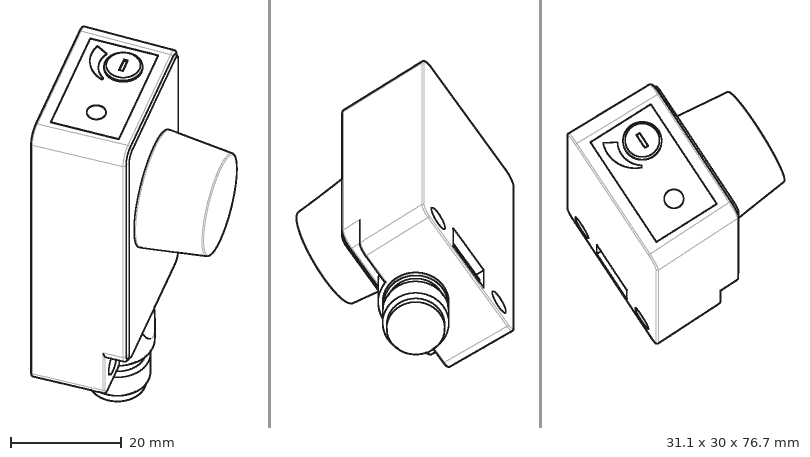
import cadquery as cq
import math


HOUSING_HEIGHT = 65.0
FRONT_X = 18.4
HEAD_DEPTH = 17.95
BACK_WIDTH = 30.03
SIDE_DRAFT_DEGREES = 1.0
HEAD_CORNER_RADIUS = 2.8
FOOT_CORNER_RADIUS = 2.0
HEAD_FRONT_RADIUS = 0.45
SMALL_EDGE_RADIUS = 0.3

PANEL_INSET = 0.6
PANEL_TAPER_DEGREES = 38.0

FOOT_DEPTH = 14.0
HEAD_BOTTOM_Z = 9.1
FOOT_OVERLAP = 6.0

BARREL_BASE_DIAMETER = 22.0
BARREL_END_DIAMETER = 19.2
BARREL_BASE_X = 18.65
BARREL_END_X = 31.1
BARREL_END_RADIUS = 0.25
BARREL_DROP = 23.05

MOUNT_HOLE_DIAMETER = 4.5
MOUNT_HOLE_SPACING = 20.0
MOUNT_HOLE_Z = 4.5
POCKET_WIDTH = 10.0
POCKET_HEIGHT = 7.4
POCKET_DEPTH = 5.0
POCKET_CENTER_Z = 5.45
POCKET_BAR_HEIGHT = 1.4
POCKET_BAR_RECESS = 0.9

PLUG_X = 11.47
PLUG_LENGTH = 11.05
PLUG_DIAMETER = 12.0
PLUG_NECK_DIAMETER = 10.5
PLUG_FLANGE_HEIGHT = 1.0
PLUG_FLANGE_RIM = 0.45
PLUG_FLANGE_BEVEL = 0.15
PLUG_COLLAR_TOP = 3.1
PLUG_COLLAR_BOTTOM = 9.5
PLUG_EMBED = 1.0

COVER_RADIUS = 6.8
COVER_SLOPE_START_Z = 3.0
COVER_TOP_FRONT_X = 16.8

LABEL_X = 9.0
LABEL_LENGTH = 13.0
LABEL_WIDTH = 22.0
MARK_DEPTH = 0.1
KNOB_X = 10.5
KNOB_Y = 6.1
KNOB_BASE_DIAMETER = 7.0
KNOB_TOP_DIAMETER = 6.2
KNOB_HEIGHT = 0.6
KNOB_RIM_HEIGHT = 0.25
KNOB_SLOT_LENGTH = 2.8
KNOB_SLOT_WIDTH = 0.7
KNOB_SLOT_DEPTH = 0.4
LAMP_X = 9.5
LAMP_Y = -6.0
LAMP_DIAMETER = 3.5

CRESCENT_INNER_RADIUS = 4.5
CRESCENT_WIDE_RADIUS = 7.1
CRESCENT_TIP_RADIUS = 4.9
CRESCENT_START_DEGREES = 150.0
CRESCENT_END_DEGREES = 236.0


def half_width_at(x):
    """Half of the housing's drafted width at the distance `x` from the mounting face."""
    return BACK_WIDTH / 2 - x * math.tan(math.radians(SIDE_DRAFT_DEGREES))


def drafted_block(depth, bottom_z, top_z):
    """Block from the mounting face to `depth`, its sides narrowing towards the front."""
    back_half = BACK_WIDTH / 2
    front_half = half_width_at(depth)
    plan = [(0, -back_half), (depth, -front_half), (depth, front_half), (0, back_half)]
    return (
        cq.Workplane("XY", origin=(0, 0, bottom_z))
        .polyline(plan)
        .close()
        .extrude(top_z - bottom_z)
    )


def fillet_long_corners(block, side, radius):
    """Round the two front-to-back edges of the block on its top (">Z") or bottom ("<Z")."""
    return block.faces(side).edges("not #X").fillet(radius)


def make_head():
    head = drafted_block(HEAD_DEPTH, HEAD_BOTTOM_Z, HOUSING_HEIGHT)
    head = fillet_long_corners(head, ">Z", HEAD_CORNER_RADIUS)
    head = fillet_long_corners(head, "<Z", HEAD_CORNER_RADIUS)
    head = head.faces(">X").edges().fillet(HEAD_FRONT_RADIUS)
    return head.faces("<X").edges().fillet(SMALL_EDGE_RADIUS)


def make_front_panel():
    width = 2 * (half_width_at(HEAD_DEPTH) - PANEL_INSET)
    height = HOUSING_HEIGHT - HEAD_BOTTOM_Z - 2 * PANEL_INSET
    center_z = (HOUSING_HEIGHT + HEAD_BOTTOM_Z) / 2
    outline = cq.Sketch().rect(width, height).vertices().fillet(HEAD_CORNER_RADIUS - PANEL_INSET)
    return (
        cq.Workplane("YZ", origin=(HEAD_DEPTH, 0, center_z))
        .placeSketch(outline)
        .extrude(FRONT_X - HEAD_DEPTH, taper=PANEL_TAPER_DEGREES)
    )


def make_foot():
    """Lower block, reaching a little way up into the head."""
    foot = drafted_block(FOOT_DEPTH, 0, HEAD_BOTTOM_Z + FOOT_OVERLAP)
    foot = fillet_long_corners(foot, "<Z", FOOT_CORNER_RADIUS)
    return foot.faces("<X or >X").edges().fillet(SMALL_EDGE_RADIUS)


def make_barrel():
    base_radius = BARREL_BASE_DIAMETER / 2
    end_radius = BARREL_END_DIAMETER / 2
    axis_z = HOUSING_HEIGHT - BARREL_DROP
    return (
        cq.Workplane("YZ", origin=(FOOT_DEPTH, 0, axis_z))
        .circle(base_radius)
        .extrude(BARREL_BASE_X - FOOT_DEPTH)
        .faces(">X")
        .workplane()
        .circle(base_radius)
        .workplane(offset=BARREL_END_X - BARREL_BASE_X)
        .circle(end_radius)
        .loft()
        .faces(">X")
        .edges()
        .fillet(BARREL_END_RADIUS)
    )


def make_plug():
    radius = PLUG_DIAMETER / 2
    neck = PLUG_NECK_DIAMETER / 2
    bevel = radius - neck
    half_profile = [
        (0, PLUG_EMBED),
        (radius, PLUG_EMBED),
        (radius, -PLUG_FLANGE_RIM),
        (radius - PLUG_FLANGE_BEVEL, -PLUG_FLANGE_HEIGHT),
        (neck, -PLUG_FLANGE_HEIGHT),
        (neck, -PLUG_COLLAR_TOP),
        (radius, -PLUG_COLLAR_TOP - bevel),
        (radius, -PLUG_COLLAR_BOTTOM + bevel),
        (neck, -PLUG_COLLAR_BOTTOM),
        (neck, -PLUG_LENGTH),
        (0, -PLUG_LENGTH),
    ]
    return (
        cq.Workplane("XZ", origin=(PLUG_X, 0, 0))
        .polyline(half_profile)
        .close()
        .revolve(360, (0, 0, 0), (0, 1, 0))
    )


def make_cover():
    front_x = PLUG_X + COVER_RADIUS
    side_profile = [
        (PLUG_X, 0),
        (front_x, 0),
        (front_x, COVER_SLOPE_START_Z),
        (COVER_TOP_FRONT_X, HEAD_BOTTOM_Z),
        (PLUG_X, HEAD_BOTTOM_Z),
    ]
    envelope = cq.Workplane("XZ").polyline(side_profile).close().extrude(COVER_RADIUS, both=True)
    column = cq.Workplane("XY").center(PLUG_X, 0).circle(COVER_RADIUS).extrude(HEAD_BOTTOM_Z)
    return column.intersect(envelope)


def make_mount_holes():
    half_spacing = MOUNT_HOLE_SPACING / 2
    return (
        cq.Workplane("YZ")
        .pushPoints([(-half_spacing, MOUNT_HOLE_Z), (half_spacing, MOUNT_HOLE_Z)])
        .circle(MOUNT_HOLE_DIAMETER / 2)
        .extrude(HEAD_DEPTH)
    )


def make_pocket():
    """Rear pocket volume, without the bar that crosses it."""
    mouth = cq.Workplane("YZ", origin=(0, 0, POCKET_CENTER_Z))
    pocket = mouth.rect(POCKET_WIDTH, POCKET_HEIGHT).extrude(POCKET_DEPTH)
    bar = (
        mouth.workplane(offset=POCKET_BAR_RECESS)
        .rect(POCKET_WIDTH, POCKET_BAR_HEIGHT)
        .extrude(POCKET_DEPTH - POCKET_BAR_RECESS)
    )
    return pocket.cut(bar)


def make_knob():
    knob = (
        cq.Workplane("XY", origin=(KNOB_X, KNOB_Y, HOUSING_HEIGHT - MARK_DEPTH))
        .circle(KNOB_BASE_DIAMETER / 2)
        .extrude(MARK_DEPTH + KNOB_RIM_HEIGHT)
        .faces(">Z")
        .workplane()
        .circle(KNOB_BASE_DIAMETER / 2)
        .workplane(offset=KNOB_HEIGHT - KNOB_RIM_HEIGHT)
        .circle(KNOB_TOP_DIAMETER / 2)
        .loft()
    )
    slot = (
        cq.Workplane("XY", origin=(KNOB_X, KNOB_Y, HOUSING_HEIGHT + KNOB_HEIGHT))
        .rect(KNOB_SLOT_WIDTH, KNOB_SLOT_LENGTH)
        .extrude(-KNOB_SLOT_DEPTH)
    )
    return knob.cut(slot)


def point_around_knob(radius, degrees):
    angle = math.radians(degrees)
    return (radius * math.cos(angle), radius * math.sin(angle))


def make_crescent():
    """Tapering mark beside the knob, standing on the label floor up to the housing top."""
    start = CRESCENT_START_DEGREES
    end = CRESCENT_END_DEGREES
    middle = (start + end) / 2
    middle_radius = (CRESCENT_WIDE_RADIUS + CRESCENT_TIP_RADIUS) / 2
    return (
        cq.Workplane("XY", origin=(KNOB_X, KNOB_Y, HOUSING_HEIGHT - MARK_DEPTH))
        .moveTo(*point_around_knob(CRESCENT_INNER_RADIUS, start))
        .threePointArc(
            point_around_knob(CRESCENT_INNER_RADIUS, middle),
            point_around_knob(CRESCENT_INNER_RADIUS, end),
        )
        .lineTo(*point_around_knob(CRESCENT_TIP_RADIUS, end))
        .threePointArc(
            point_around_knob(middle_radius, middle),
            point_around_knob(CRESCENT_WIDE_RADIUS, start),
        )
        .close()
        .extrude(MARK_DEPTH)
    )


def make_label_recess():
    return (
        cq.Workplane("XY", origin=(LABEL_X, 0, HOUSING_HEIGHT))
        .rect(LABEL_LENGTH, LABEL_WIDTH)
        .extrude(-MARK_DEPTH)
    )


def make_lamp():
    return (
        cq.Workplane("XY", origin=(LAMP_X, LAMP_Y, HOUSING_HEIGHT - MARK_DEPTH))
        .circle(LAMP_DIAMETER / 2)
        .extrude(MARK_DEPTH)
    )


housing = make_foot().union(make_head()).union(make_front_panel())
housing = housing.union(make_cover()).union(make_plug()).union(make_barrel())
housing = housing.cut(make_mount_holes()).cut(make_pocket()).cut(make_label_recess())
result = housing.union(make_knob()).union(make_crescent()).union(make_lamp())